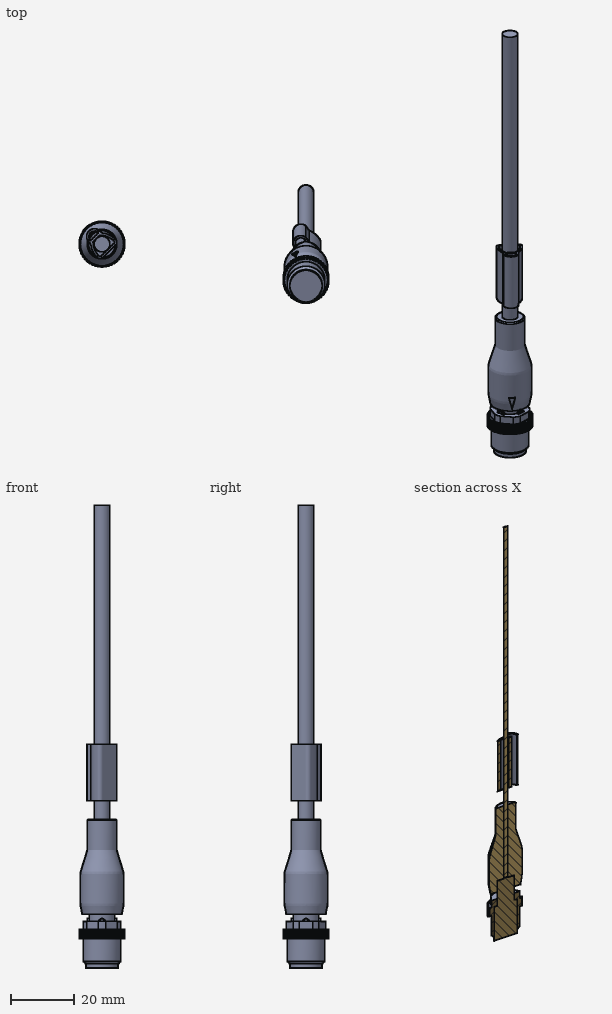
import cadquery as cq
import math

overall_height = 147.0
rim_top = 1.3
shell_chamfer_top = 2.2
knurl_bottom = 9.3
knurl_top = 12.3
hex_top = 14.8
grip_bottom = 17.0
insert_top = 21.3
collar_bottom = 37.5
grip_top = 47.3
clip_bottom = 53.0
clip_height = 18.1

cable_radius = 2.5

rim_radius = 5.1
neck_radius = 4.1
nub_reach = 0.6
nub_half_width = 1.3
nub_height = 1.0
nub_count = 4

shell_radius = 6.0
hex_across_flats = 11.9
hex_corner_radius = 6.3
knurl_radius = 7.28
tooth_count = 44
tooth_gap_width = 0.5
tooth_depth = 0.5

grip_radius = 6.9
grip_bottom_radius = 6.3
grip_bottom_taper_top = 20.1
grip_shoulder = 30.3
collar_radius = 4.7
collar_chamfer = 0.5
shoulder_fillet = 3.0
taper_fillet = 4.7
arrow_angle = 135.0
arrow_bottom = 18.2
arrow_top = 22.0
arrow_half_width = 1.0
arrow_radius = 7.28

clip_turn = -45.0
clip_wall = 0.7
plate_face = cable_radius + clip_wall
plate_corner_radius = 1.2
sleeve_half_width = 4.1
sleeve_side_radius = 7.4
sleeve_end = -cable_radius
lobe_start = -4.3
lobe_end = -5.9
lobe_half_width = 2.4


def cylinder(radius, bottom, top):
    return cq.Workplane("XY").workplane(offset=bottom).circle(radius).extrude(top - bottom)


def revolve_profile(points):
    """Solid of revolution about Z from (radius, height) points."""
    return cq.Workplane("XZ").polyline(points).close().revolve(360, (0, 0), (0, 1))


def make_cable():
    return cylinder(cable_radius, insert_top, overall_height)


def make_nub(angle):
    """Small wedge-shaped catch standing on the nut at the side of the neck."""
    profile = [(-nub_half_width, hex_top), (nub_half_width, hex_top), (0, hex_top + nub_height)]
    wedge = cq.Workplane("XZ").polyline(profile).close().extrude(neck_radius + nub_reach)
    return wedge.rotate((0, 0, 0), (0, 0, 1), angle)


def make_insert():
    insert = cylinder(rim_radius, 0, knurl_top)
    insert = insert.union(cylinder(neck_radius, knurl_top, insert_top))
    for index in range(nub_count):
        insert = insert.union(make_nub(index * 360 / nub_count))
    return insert


def make_knurl():
    """Ring with straight grip teeth around its rim."""
    knurl = cylinder(knurl_radius, knurl_bottom, knurl_top)
    half_pitch = 180 / tooth_count
    gaps = (
        cq.Workplane("XY")
        .workplane(offset=knurl_bottom)
        .polarArray(knurl_radius, half_pitch, 360, tooth_count)
        .rect(2 * tooth_depth, tooth_gap_width)
        .extrude(knurl_top - knurl_bottom)
    )
    return knurl.cut(gaps)


def make_hex():
    """Hexagon with flats facing +X and -X and its corners turned down to a cylinder."""
    corner_diameter = hex_across_flats / math.cos(math.pi / 6)
    hexagon = (
        cq.Workplane("XY")
        .workplane(offset=knurl_top)
        .polygon(6, corner_diameter)
        .extrude(hex_top - knurl_top)
        .rotate((0, 0, 0), (0, 0, 1), 30)
    )
    return hexagon.intersect(cylinder(hex_corner_radius, knurl_top, hex_top))


def make_nut(insert):
    shell = revolve_profile([
        (0, rim_top),
        (rim_radius, rim_top),
        (shell_radius, shell_chamfer_top),
        (shell_radius, knurl_bottom),
        (0, knurl_bottom),
    ])
    return shell.union(make_knurl()).union(make_hex()).cut(insert)


def make_arrow():
    """Raised triangle on the side of the grip, pointing down at the nut."""
    profile = [(-arrow_half_width, arrow_top), (arrow_half_width, arrow_top), (0, arrow_bottom)]
    return (
        cq.Workplane("YZ")
        .polyline(profile)
        .close()
        .extrude(arrow_radius)
        .rotate((0, 0, 0), (0, 0, 1), arrow_angle)
    )


def circle_at(height):
    """Selector for the circular edge of the grip at this height."""
    reach = 2 * grip_radius
    margin = 0.1
    return cq.selectors.BoxSelector(
        (-reach, -reach, height - margin),
        (reach, reach, height + margin),
    )


def make_grip(insert, cable):
    grip = revolve_profile([
        (0, grip_bottom),
        (grip_bottom_radius, grip_bottom),
        (grip_radius, grip_bottom_taper_top),
        (grip_radius, grip_shoulder),
        (collar_radius, collar_bottom),
        (collar_radius, grip_top),
        (0, grip_top),
    ])
    grip = grip.edges(circle_at(grip_shoulder)).fillet(shoulder_fillet)
    grip = grip.edges(circle_at(grip_bottom_taper_top)).fillet(taper_fillet)
    grip = grip.faces(">Z").edges().chamfer(collar_chamfer)
    return grip.union(make_arrow()).cut(insert).cut(cable)


def clip_sleeve(inset):
    """D-shaped sleeve with a flat label plate and bowed sides, its outline moved inward by inset."""
    corner_radius = plate_corner_radius - inset
    side_radius = sleeve_side_radius - inset
    face = plate_face - inset
    corner_center = plate_face - plate_corner_radius
    plate_half_width = sleeve_half_width - plate_corner_radius
    widest = sleeve_half_width - inset
    end_half_width = sleeve_side_half_width(sleeve_end, side_radius)
    return (
        cq.Workplane("XY")
        .moveTo(face, -plate_half_width)
        .lineTo(face, plate_half_width)
        .radiusArc((corner_center, widest), -corner_radius)
        .radiusArc((sleeve_end, end_half_width), -side_radius)
        .lineTo(sleeve_end, -end_half_width)
        .radiusArc((corner_center, -widest), -side_radius)
        .radiusArc((face, -plate_half_width), -corner_radius)
        .close()
        .extrude(clip_height)
    )


def sleeve_side_half_width(position, side_radius):
    """Half width of the bowed sleeve sides at a position along the clip's own X."""
    run = plate_face - plate_corner_radius - position
    side_center = sleeve_half_width - sleeve_side_radius
    return side_center + math.sqrt(side_radius**2 - run**2)


def clip_lobe():
    """Round lobe behind the sleeve, on the side away from the label plate."""
    root_half_width = sleeve_side_half_width(sleeve_end, sleeve_side_radius)
    return (
        cq.Workplane("XY")
        .moveTo(sleeve_end, root_half_width)
        .lineTo(lobe_start, lobe_half_width)
        .threePointArc((lobe_end, 0), (lobe_start, -lobe_half_width))
        .lineTo(sleeve_end, -root_half_width)
        .close()
        .extrude(clip_height)
    )


def lobe_slot():
    """Half-round opening along the lobe, leaving one wall thickness all around."""
    lobe_depth = lobe_start - lobe_end
    lobe_radius = (lobe_depth**2 + lobe_half_width**2) / (2 * lobe_depth)
    slot_radius = lobe_radius - clip_wall
    center = lobe_end + lobe_radius
    return (
        cq.Workplane("XY")
        .moveTo(center, slot_radius)
        .threePointArc((center - slot_radius, 0), (center, -slot_radius))
        .close()
        .extrude(clip_height)
    )


def make_label_clip():
    clip = clip_sleeve(0).union(clip_lobe())
    clip = clip.cut(clip_sleeve(clip_wall)).cut(lobe_slot())
    return clip.rotate((0, 0, 0), (0, 0, 1), clip_turn).translate((0, 0, clip_bottom))


cable = make_cable()
insert = make_insert()
nut = make_nut(insert)
grip = make_grip(insert, cable)
label_clip = make_label_clip()

result = cq.Compound.makeCompound([
    cable.val(),
    insert.val(),
    nut.val(),
    grip.val(),
    label_clip.val(),
])